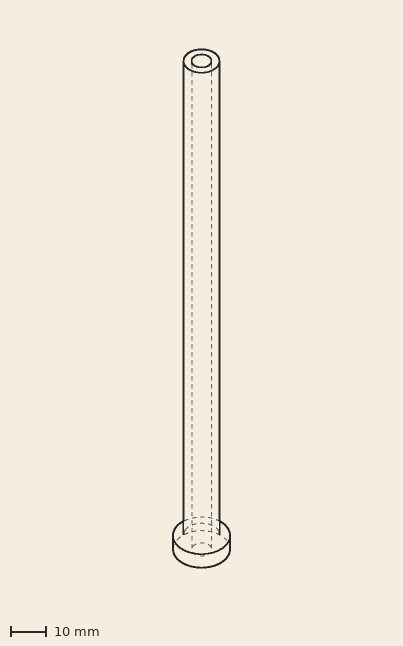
import cadquery as cq

total_length = 180.0
head_diameter = 16.0
head_height = 5.0
shaft_diameter = 10.0
bore_diameter = 5.5
root_fillet = 0.5

head_radius = head_diameter / 2
shaft_radius = shaft_diameter / 2
bore_radius = bore_diameter / 2

half_section = (
    cq.Workplane("XZ")
    .moveTo(bore_radius, 0)
    .lineTo(head_radius, 0)
    .lineTo(head_radius, head_height)
    .lineTo(shaft_radius + root_fillet, head_height)
    .radiusArc((shaft_radius, head_height + root_fillet), root_fillet)
    .lineTo(shaft_radius, total_length)
    .lineTo(bore_radius, total_length)
    .close()
)

result = half_section.revolve(360, (0, 0), (0, 1))